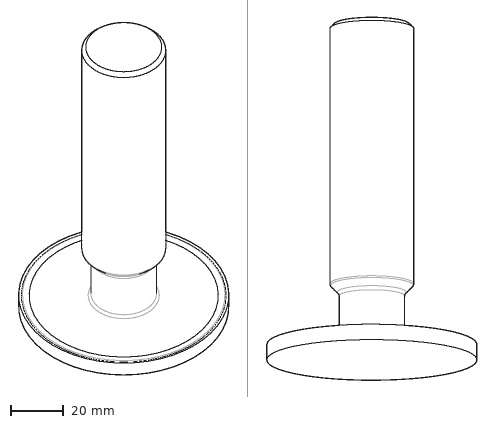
import cadquery as cq

total_height = 130.0

pad_diameter = 80.0
pad_height = 6.0
pad_floor = 2.0
rim_inner_diameter = 77.0
lip_opening_diameter = 71.9
lip_dish_depth = 0.4

disc_diameter = 77.9
disc_top = pad_height - lip_dish_depth

neck_diameter = 25.0
neck_foot_radius = 1.0
neck_top_radius = 2.1
grip_diameter = 32.0
grip_bottom = 29.1
grip_bottom_radius = 0.9
grip_top_chamfer = 1.5

shoulder_drop = (grip_diameter - neck_diameter) / 2
neck_top = grip_bottom - shoulder_drop


def revolve_profile(points):
    """Revolve a closed (radius, height) outline about the Z axis."""
    return cq.Workplane("XZ").polyline(points).close().revolve(360, (0, 0), (0, 1))


def round_circle(body, diameter, height, radius):
    """Fillet the circular edge of the given diameter and height."""
    reach = diameter / 2
    margin = 0.1
    low = (-reach - margin, -reach - margin, height - margin)
    high = (reach + margin, reach + margin, height + margin)
    ring = cq.selectors.BoxSelector(low, high, boundingbox=True)
    return body.edges(ring).edges("%CIRCLE").fillet(radius)


def make_stem():
    """Foot disc, neck, conical shoulder and grip in one piece."""
    disc_r = disc_diameter / 2
    neck_r = neck_diameter / 2
    grip_r = grip_diameter / 2
    stem = revolve_profile([
        (0, pad_floor),
        (disc_r, pad_floor),
        (disc_r, disc_top),
        (neck_r, disc_top),
        (neck_r, neck_top),
        (grip_r, grip_bottom),
        (grip_r, total_height),
        (0, total_height),
    ])
    stem = stem.faces(">Z").chamfer(grip_top_chamfer)
    stem = round_circle(stem, neck_diameter, disc_top, neck_foot_radius)
    stem = round_circle(stem, neck_diameter, neck_top, neck_top_radius)
    return round_circle(stem, grip_diameter, grip_bottom, grip_bottom_radius)


def make_pad():
    """Cup with a floor, a flat rim and a lip tapering to nothing on the disc."""
    pad_r = pad_diameter / 2
    disc_r = disc_diameter / 2
    opening_r = lip_opening_diameter / 2
    return revolve_profile([
        (0, 0),
        (pad_r, 0),
        (pad_r, pad_height),
        (rim_inner_diameter / 2, pad_height),
        (opening_r, disc_top),
        (disc_r, disc_top),
        (disc_r, pad_floor),
        (0, pad_floor),
    ])


stem = make_stem()
pad = make_pad()

result = cq.Compound.makeCompound([stem.val(), pad.val()])